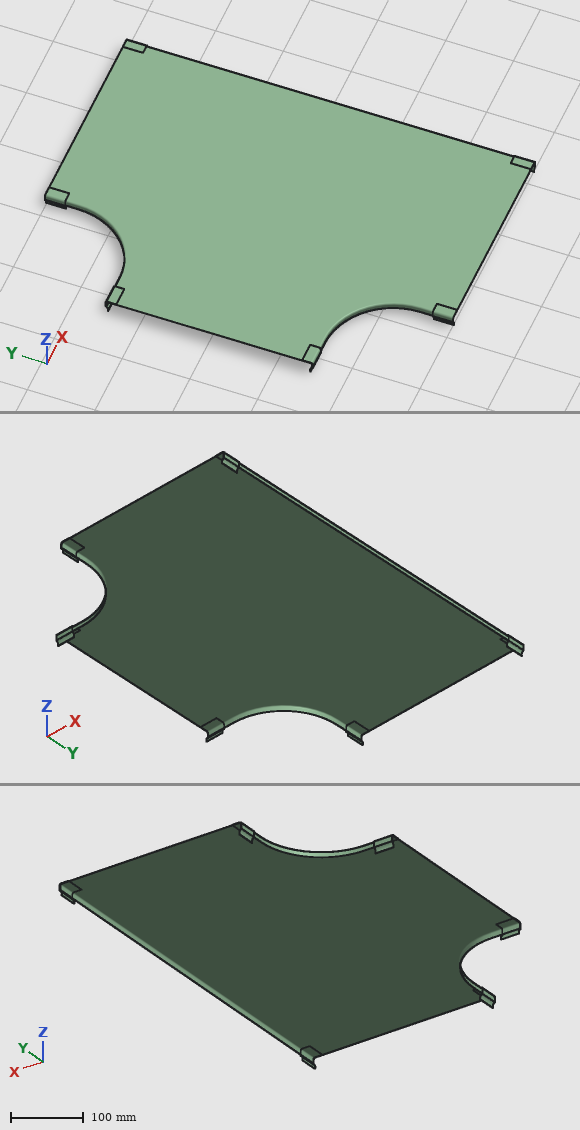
import cadquery as cq
import math


run_width = 304.0
corner_radius = 100.0
run_length = 602.5
overall_width = 453.7
cover_thickness = 0.75
rim_depth = 9.4
bend_radius = 2.75

clip_thickness = 0.75
side_clearance = 0.4
clip_length = 30.0
clip_flange = 16.0
clip_height = 19.25
wall_end = -8.75
hook_angle = 48.0
hook_radius = 2.2
slope_length = 1.1
lip_flare = 20.0

half_width = run_width / 2
half_length = run_length / 2
branch_end = half_width + side_clearance + clip_thickness - overall_width


def tee_prism(inset, top, bottom, edge_radius, overrun):
    """Tee-shaped block with rounded rim edges, its open ends lengthened by the overrun."""
    side = half_width - inset
    end_y = half_length + overrun
    end_x = branch_end - overrun
    arc_radius = corner_radius + inset
    arc_center = half_width + corner_radius
    arc_middle = arc_center - arc_radius * math.sqrt(0.5)
    block = (
        cq.Workplane("XY", origin=(0, 0, bottom))
        .moveTo(side, -end_y)
        .lineTo(side, end_y)
        .lineTo(-side, end_y)
        .lineTo(-side, arc_center)
        .threePointArc((-arc_middle, arc_middle), (-arc_center, side))
        .lineTo(end_x, side)
        .lineTo(end_x, -side)
        .lineTo(-arc_center, -side)
        .threePointArc((-arc_middle, -arc_middle), (-side, -arc_center))
        .lineTo(-side, -end_y)
        .close()
        .extrude(top - bottom)
    )
    margin = edge_radius / 2
    rim_edges = cq.selectors.BoxSelector(
        (end_x + margin, -end_y + margin, top - margin), (side + margin, end_y - margin, top + margin)
    )
    return block.edges(rim_edges).fillet(edge_radius)


def make_cover():
    """Cover sheet and rim: the outer block hollowed from below and through its open ends."""
    outer = tee_prism(0, 0, -rim_depth, bend_radius, 0)
    inner = tee_prism(
        cover_thickness,
        -cover_thickness,
        -rim_depth - cover_thickness,
        bend_radius - cover_thickness,
        cover_thickness,
    )
    return outer.cut(inner)


def make_clip():
    """Clip for a rim facing +X: outer rim face at X = 0, clip centred on Y = 0."""
    half_thickness = clip_thickness / 2
    wall_x = side_clearance + half_thickness
    top_bend_radius = bend_radius + half_thickness
    flange_edge = side_clearance + clip_thickness - clip_flange
    slope_turn = math.radians(hook_angle)
    flare_turn = math.radians(lip_flare)
    hook_x = wall_x - hook_radius * (1 - math.cos(slope_turn))
    hook_z = wall_end - hook_radius * math.sin(slope_turn)
    slope_x = hook_x - slope_length * math.sin(slope_turn)
    slope_z = hook_z - slope_length * math.cos(slope_turn)
    tip_z = clip_thickness - clip_height + half_thickness * math.sin(flare_turn)
    lip_radius = (slope_z - tip_z) / (math.sin(slope_turn) + math.sin(flare_turn))
    tip_x = slope_x - lip_radius * (math.cos(flare_turn) - math.cos(slope_turn))
    path = (
        cq.Workplane("XZ")
        .moveTo(flange_edge, half_thickness)
        .lineTo(wall_x - top_bend_radius, half_thickness)
        .tangentArcPoint((wall_x, half_thickness - top_bend_radius), relative=False)
        .lineTo(wall_x, wall_end)
        .tangentArcPoint((hook_x, hook_z), relative=False)
        .lineTo(slope_x, slope_z)
        .tangentArcPoint((tip_x, tip_z), relative=False)
    )
    section = cq.Workplane("YZ", origin=(flange_edge, 0, half_thickness)).rect(clip_length, clip_thickness)
    return section.sweep(path)


cover = make_cover()

run_clip_y = half_length - clip_length / 2
branch_clip_x = branch_end + clip_length / 2
clip_places = []
for side in (-1, 1):
    clip_places.append((branch_clip_x, side * half_width, side * 90))
    for end in (-1, 1):
        clip_places.append((side * half_width, end * run_clip_y, 90 - side * 90))

clip = make_clip()
clips = []
for x, y, facing in clip_places:
    placed_clip = clip.rotate((0, 0, 0), (0, 0, 1), facing).translate((x, y, 0))
    clips.append(placed_clip.val())

result = cq.Compound.makeCompound([cover.val(), *clips])